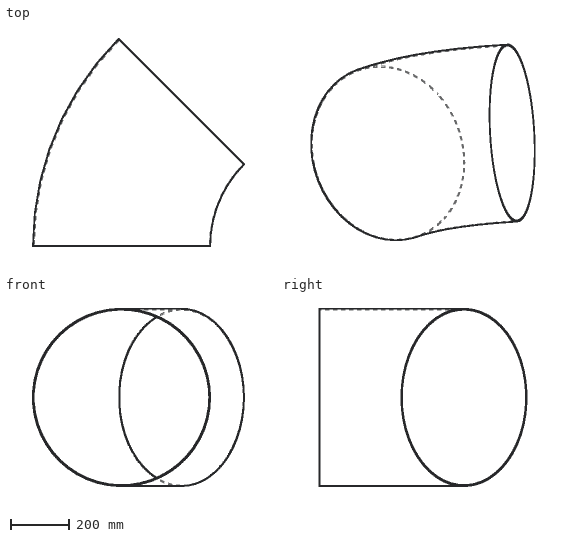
import cadquery as cq

outer_diameter = 608.0
wall_thickness = 4.0
bend_radius = 700.0
bend_angle = 45.0

outer_radius = outer_diameter / 2
inner_radius = outer_radius - wall_thickness


def make_elbow():
    """Revolve the pipe ring about the bend axis, which is parallel to Z at X = bend_radius."""
    ring = cq.Workplane("XZ").circle(outer_radius).circle(inner_radius)
    axis_start = (bend_radius, 0)
    axis_end = (bend_radius, -1)
    return ring.revolve(bend_angle, axis_start, axis_end)


result = make_elbow()